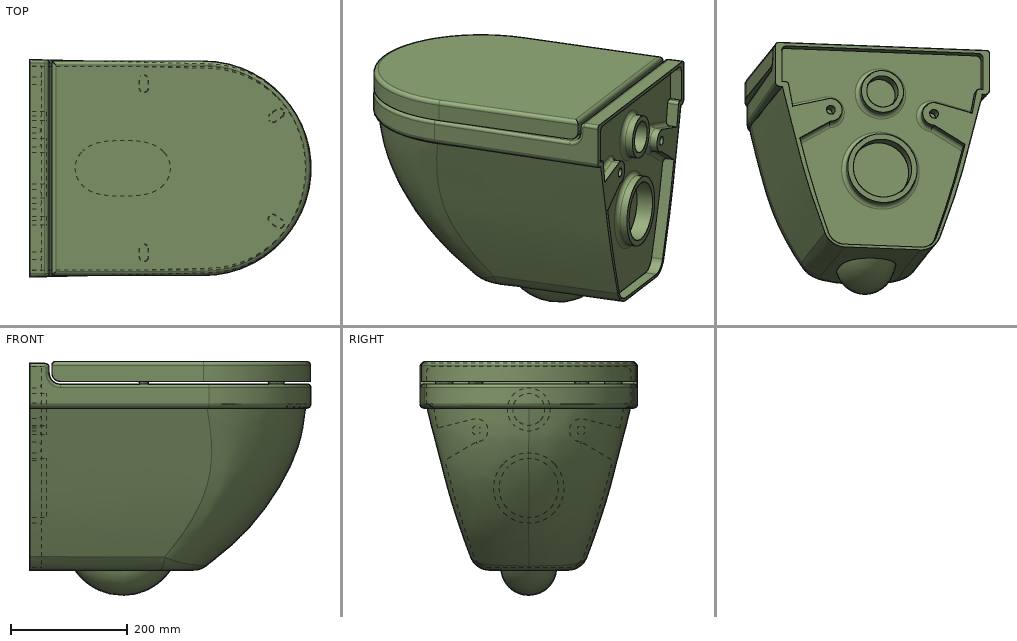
import cadquery as cq
import math


LENGTH = 485.0
BACK_HALF_WIDTH = 187.45
RIM_RADIUS = 180.0
RIM_SIDE_END = LENGTH - RIM_RADIUS
RIM_BOTTOM = 279.0
RIM_TOP = 320.5
RIM_EDGE_FILLET = 6.0
RIM_BOTTOM_FILLET = 8.0

LEDGE_TOP = 356.5
LEDGE_DEPTH = 34.0
LEDGE_FOOT_RADIUS = 19.5
LEDGE_EDGE_FILLET = 8.0

LID_GAP = 4.5
LID_BACK = LEDGE_DEPTH + LID_GAP
LID_BOTTOM = RIM_TOP + LID_GAP
LID_TOP = 360.0
LID_RADIUS = 185.0
LID_FRONT = 484.0
LID_TOP_FILLET = 7.5
LID_HEEL_RADIUS = LEDGE_FOOT_RADIUS - LID_GAP

SHELL_STATIONS = [
    (0.0, 89.5, 211.5, 294.5),
    (39.0, 106.0, 246.0, 343.0),
    (87.5, 123.0, 280.0, 390.5),
    (136.0, 138.0, 302.5, 425.5),
    (184.5, 151.0, 313.0, 451.5),
    (233.0, 163.5, 312.5, 468.0),
    (RIM_BOTTOM, 175.0, 306.0, 475.5),
]
SHELL_BOTTOM_FILLET = 37.0
QUARTER_ARC_PULL = 4 / 3 * (math.sqrt(2) - 1)

TRAP_X = 160.5
TRAP_OUTER_RADIUS = 99.5
TRAP_PIPE_RADIUS = 48.0
TRAP_DEPTH = 43.0

RECESS_DEPTH = 20.5
RECESS_TOP = 350.5
RECESS_HALF_WIDTH = 176.0
RECESS_STEP_Z = 287.5
RECESS_STEP_HALF_WIDTH = 165.0
RECESS_MID = (143.5, 186.0)
RECESS_BOTTOM = 5.0
RECESS_BOTTOM_HALF_WIDTH = 87.5
RECESS_TOP_RADIUS = 9.0
RECESS_STEP_RADIUS = 6.0
RECESS_BOTTOM_RADIUS = 29.0
FLOOR_FILLET = 7.5
FLOOR_FILLET_REACH = 131.0

SOCKETS = [
    (277.0, 73.5, 55.0),
    (141.5, 121.5, 102.0),
]
BORE_DEPTH = 29.0
BOLT_Y = 90.0
BOLT_Z = 241.0
BOLT_HOLE_DIAMETER = 15.0
BOSS_RADIUS = 20.0
BOSS_UPPER_SLOPE = 14.0
BOSS_LOWER_SLOPE = 30.5
BOSS_REACH = 145.5

PAD_WIDTH = 16.5
PAD_LENGTH = 30.5
PAD_TAPER = 12.0
REAR_PAD_X = 197.0
REAR_PAD_Y = 145.5
FRONT_PAD_ANGLE = 36.0
FRONT_PAD_RADIUS = 155.0


def d_plate(back, half_width, radius, front, bottom, top):
    """Plate with a straight back, a round front and sides tangent to the round."""
    centre = front - radius
    reach = math.hypot(centre - back, half_width)
    lean = math.acos(radius / reach) - math.atan2(centre - back, half_width)
    side_x = centre + radius * math.sin(lean)
    side_y = radius * math.cos(lean)
    return (
        cq.Workplane("XY", origin=(0, 0, bottom))
        .moveTo(back, -half_width)
        .lineTo(side_x, -side_y)
        .threePointArc((front, 0), (side_x, side_y))
        .lineTo(back, half_width)
        .close()
        .extrude(top - bottom)
    )


def make_rim():
    """Rim with the raised ledge along the wall, blended by a hollow foot."""
    rim = d_plate(0, BACK_HALF_WIDTH, RIM_RADIUS, LENGTH, RIM_BOTTOM, LEDGE_TOP)
    seat_space = (
        cq.Workplane("XY", origin=(LEDGE_DEPTH, 0, RIM_TOP))
        .box(LENGTH, 2 * LENGTH, LENGTH, centered=(False, True, False))
        .edges("<X and <Z")
        .fillet(LEDGE_FOOT_RADIUS)
    )
    rim = rim.cut(seat_space)
    rim = rim.faces("<Z").edges("not <X").fillet(RIM_BOTTOM_FILLET)
    rim = rim.faces(">Z").edges(">X").fillet(LEDGE_EDGE_FILLET)
    side_edges = [
        cq.selectors.BoxSelector(
            (0.5, side * BACK_HALF_WIDTH - 14.5, RIM_TOP - 5),
            (RIM_SIDE_END, side * BACK_HALF_WIDTH + 14.5, LEDGE_TOP + 5),
        )
        for side in (-1, 1)
    ]
    front_edge = cq.selectors.BoxSelector(
        (RIM_SIDE_END, -5, RIM_TOP - 5), (LENGTH, 5, RIM_TOP + 5)
    )
    return rim.edges(side_edges[0] + side_edges[1] + front_edge).fillet(RIM_EDGE_FILLET)


def shell_outline(height, half_width, straight_end, front):
    """Closed wire of the shell at one height: straight sides and a half ellipse in front."""
    pull_x = straight_end + QUARTER_ARC_PULL * (front - straight_end)
    pull_y = QUARTER_ARC_PULL * half_width
    return (
        cq.Workplane("XY", origin=(0, 0, height))
        .moveTo(0, -half_width)
        .lineTo(straight_end, -half_width)
        .bezier([(pull_x, -half_width), (front, -pull_y), (front, 0)], includeCurrent=True)
        .bezier([(front, pull_y), (pull_x, half_width), (straight_end, half_width)], includeCurrent=True)
        .lineTo(0, half_width)
        .close()
        .val()
    )


def make_shell():
    """Tapering bowl shell below the rim, rounded along its bottom edge."""
    outlines = [shell_outline(*station) for station in SHELL_STATIONS]
    shell = cq.Workplane(cq.Solid.makeLoft(outlines))
    return shell.faces("<Z").edges("not <X").fillet(SHELL_BOTTOM_FILLET)


def make_trap():
    """Ring about a Y axis; only its lowest part shows under the shell."""
    ring_radius = TRAP_OUTER_RADIUS - TRAP_PIPE_RADIUS
    ring = cq.Solid.makeTorus(
        ring_radius,
        TRAP_PIPE_RADIUS,
        cq.Vector(TRAP_X, 0, TRAP_OUTER_RADIUS - TRAP_DEPTH),
        cq.Vector(0, 1, 0),
    )
    return cq.Workplane(ring)


def on_wall_face():
    """Sketch plane on the wall face: local x is Y, local y is Z, extruding toward the front."""
    return cq.Workplane("YZ")


def make_recess():
    """Pocket in the wall face, following the outline of the rim and the shell."""
    mid_half_width, mid_z = RECESS_MID
    right_half = [(RECESS_HALF_WIDTH, RECESS_TOP), (RECESS_HALF_WIDTH, RECESS_STEP_Z)]
    recess = (
        on_wall_face()
        .moveTo(-RECESS_HALF_WIDTH, RECESS_TOP)
        .polyline(right_half, includeCurrent=True)
        .lineTo(RECESS_STEP_HALF_WIDTH, RECESS_STEP_Z)
        .threePointArc((mid_half_width, mid_z), (RECESS_BOTTOM_HALF_WIDTH, RECESS_BOTTOM))
        .lineTo(-RECESS_BOTTOM_HALF_WIDTH, RECESS_BOTTOM)
        .threePointArc((-mid_half_width, mid_z), (-RECESS_STEP_HALF_WIDTH, RECESS_STEP_Z))
        .lineTo(-RECESS_HALF_WIDTH, RECESS_STEP_Z)
        .close()
        .extrude(RECESS_DEPTH)
    )
    step_edges = cq.selectors.BoxSelector(
        (0, -RECESS_STEP_HALF_WIDTH - 5, RECESS_STEP_Z - 5),
        (RECESS_DEPTH, RECESS_STEP_HALF_WIDTH + 5, RECESS_STEP_Z + 5),
    )
    recess = recess.edges("|X").edges(">Z").fillet(RECESS_TOP_RADIUS)
    recess = recess.edges("|X").edges("<Z").fillet(RECESS_BOTTOM_RADIUS)
    return recess.edges("|X").edges(step_edges).fillet(RECESS_STEP_RADIUS)


def make_boss():
    """Mounting boss on the +Y side: a round end that widens out to the recess wall."""
    upper = math.radians(BOSS_UPPER_SLOPE)
    lower = math.radians(BOSS_LOWER_SLOPE)
    upper_start_y = BOLT_Y + BOSS_RADIUS * math.sin(upper)
    upper_start_z = BOLT_Z + BOSS_RADIUS * math.cos(upper)
    lower_start_z = BOLT_Z - BOSS_RADIUS
    far_y = BOLT_Y + BOSS_REACH
    return (
        on_wall_face()
        .moveTo(far_y, upper_start_z - (far_y - upper_start_y) * math.tan(upper))
        .lineTo(upper_start_y, upper_start_z)
        .threePointArc((BOLT_Y - BOSS_RADIUS, BOLT_Z), (BOLT_Y, lower_start_z))
        .lineTo(far_y, lower_start_z - BOSS_REACH * math.tan(lower))
        .close()
        .extrude(RECESS_DEPTH)
    )


def make_bowl():
    """Bowl in one piece, with the recess, sockets and bosses in its wall face."""
    recess = make_recess()
    boss = make_boss()
    recess = recess.cut(boss).cut(boss.mirror("XZ"))
    for height, outer_diameter, _ in SOCKETS:
        recess = recess.cut(
            on_wall_face().center(0, height).circle(outer_diameter / 2).extrude(RECESS_DEPTH)
        )
    floor_corners = cq.selectors.BoxSelector(
        (RECESS_DEPTH - 0.5, -FLOOR_FILLET_REACH, BOLT_Z / 2),
        (RECESS_DEPTH + 0.5, FLOOR_FILLET_REACH, RECESS_TOP - 24.3),
    )
    recess = recess.edges(floor_corners).fillet(FLOOR_FILLET)

    bowl = make_rim().union(make_shell()).union(make_trap()).cut(recess)
    for height, _, bore_diameter in SOCKETS:
        bowl = bowl.cut(on_wall_face().center(0, height).circle(bore_diameter / 2).extrude(BORE_DEPTH))
    bolt_holes = (
        on_wall_face()
        .pushPoints([(-BOLT_Y, BOLT_Z), (BOLT_Y, BOLT_Z)])
        .circle(BOLT_HOLE_DIAMETER / 2)
        .extrude(BORE_DEPTH)
    )
    return bowl.cut(bolt_holes)


def make_lid():
    """Flat lid whose lower back edge follows the hollow foot of the ledge."""
    lid = d_plate(LID_BACK, LID_RADIUS, LID_RADIUS, LID_FRONT, LID_BOTTOM, LID_TOP)
    lid = lid.faces("<Z").edges("<X").fillet(LID_HEEL_RADIUS)
    return lid.faces(">Z").edges().fillet(LID_TOP_FILLET)


def make_pad(x, y, angle):
    """Oblong bumper pad under the lid, narrowing down to the rim."""
    return (
        cq.Workplane("XY", origin=(x, y, LID_BOTTOM))
        .slot2D(PAD_LENGTH, PAD_WIDTH, angle)
        .extrude(-LID_GAP, taper=PAD_TAPER)
    )


bowl = make_bowl()
lid = make_lid()

front_angle = math.radians(FRONT_PAD_ANGLE)
front_pad_x = LID_FRONT - LID_RADIUS + FRONT_PAD_RADIUS * math.cos(front_angle)
front_pad_y = FRONT_PAD_RADIUS * math.sin(front_angle)
pads = []
for side in (-1, 1):
    pads.append(make_pad(REAR_PAD_X, side * REAR_PAD_Y, 90))
    pads.append(make_pad(front_pad_x, side * front_pad_y, side * FRONT_PAD_ANGLE))

result = cq.Compound.makeCompound([bowl.val(), lid.val(), *[pad.val() for pad in pads]])